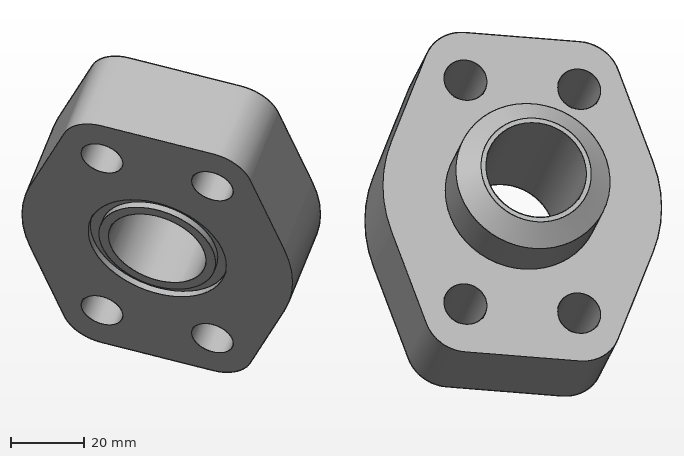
import cadquery as cq
import math

plate_height = 95.0
plate_width = 77.8
plate_thickness = 25.0
flat_half_length = 16.1
corner_radius = 11.4

total_depth = 44.0
neck_diameter = 43.0
neck_tip_diameter = 30.8
neck_bevel_length = 4.4
bore_diameter = 28.0

groove_outer_diameter = 39.7
groove_inner_diameter = 33.5
groove_depth = 2.0

bolt_diameter = 12.0
bolt_spacing_x = 31.7
bolt_spacing_z = 66.6


def make_plate():
    """Plate with rounded corners joined by tangent flanks to large side arcs."""
    side_radius = plate_width / 2
    half_height = plate_height / 2
    corner_z = half_height - corner_radius

    corner_distance = math.hypot(flat_half_length, corner_z)
    corner_angle = math.atan2(corner_z, flat_half_length)
    flank_angle = corner_angle - math.acos((side_radius - corner_radius) / corner_distance)
    mid_angle = (flank_angle + math.pi / 2) / 2

    def on_corner(angle):
        return (
            flat_half_length + corner_radius * math.cos(angle),
            corner_z + corner_radius * math.sin(angle),
        )

    side_x = side_radius * math.cos(flank_angle)
    side_z = side_radius * math.sin(flank_angle)
    corner_mid_x, corner_mid_z = on_corner(mid_angle)
    corner_end_x, corner_end_z = on_corner(flank_angle)

    return (
        cq.Workplane("XZ")
        .moveTo(-flat_half_length, half_height)
        .lineTo(flat_half_length, half_height)
        .threePointArc((corner_mid_x, corner_mid_z), (corner_end_x, corner_end_z))
        .lineTo(side_x, side_z)
        .threePointArc((side_radius, 0), (side_x, -side_z))
        .lineTo(corner_end_x, -corner_end_z)
        .threePointArc((corner_mid_x, -corner_mid_z), (flat_half_length, -half_height))
        .lineTo(-flat_half_length, -half_height)
        .threePointArc((-corner_mid_x, -corner_mid_z), (-corner_end_x, -corner_end_z))
        .lineTo(-side_x, -side_z)
        .threePointArc((-side_radius, 0), (-side_x, side_z))
        .lineTo(-corner_end_x, corner_end_z)
        .threePointArc((-corner_mid_x, corner_mid_z), (-flat_half_length, half_height))
        .close()
        .extrude(-plate_thickness)
    )


def make_neck():
    """Round neck with a bevelled tip, revolved about the Y axis."""
    neck_radius = neck_diameter / 2
    return (
        cq.Workplane("XY")
        .moveTo(0, 0)
        .lineTo(neck_radius, 0)
        .lineTo(neck_radius, total_depth - neck_bevel_length)
        .lineTo(neck_tip_diameter / 2, total_depth)
        .lineTo(0, total_depth)
        .close()
        .revolve(360, (0, 0, 0), (0, 1, 0))
    )


def make_bore():
    return cq.Workplane("XZ").circle(bore_diameter / 2).extrude(-total_depth)


def make_groove():
    return (
        cq.Workplane("XZ")
        .circle(groove_outer_diameter / 2)
        .circle(groove_inner_diameter / 2)
        .extrude(-groove_depth)
    )


def make_bolt_holes():
    return (
        cq.Workplane("XZ")
        .rarray(bolt_spacing_x, bolt_spacing_z, 2, 2)
        .circle(bolt_diameter / 2)
        .extrude(-plate_thickness)
    )


result = (
    make_plate()
    .union(make_neck())
    .cut(make_bore())
    .cut(make_groove())
    .cut(make_bolt_holes())
)